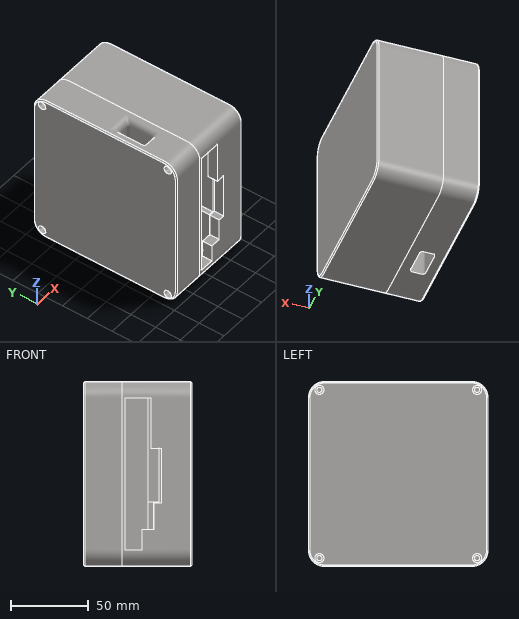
import cadquery as cq

LENGTH = 70.0
WIDTH = 115.5
HEIGHT = 119.0
CORNER_RADIUS = 10.4
END_CHAMFER = 1.0

LEFT = -LENGTH / 2
LID_THICKNESS = 24.8
PARTING = LEFT + LID_THICKNESS

SCREW_Y = WIDTH / 2 - 7.0
SCREW_Z = HEIGHT / 2 - 5.4
SCREW_POINTS = [(y, z) for y in (-SCREW_Y, SCREW_Y) for z in (-SCREW_Z, SCREW_Z)]
SCREW_DIAMETER = 3.3
HEAD_DIAMETER = 5.8
HEAD_DEPTH = 6.0
PILOT_DEPTH = 11.9

DUCT_X = LEFT + 12.6
DUCT_Y = -15.8
DUCT_LENGTH_X = 10.2
DUCT_LENGTH_Y = 20.8
DUCT_CORNER_RADIUS = 2.0
FLARE_RADIUS = 5.1

WALL = 7.6
CAVITY_HALF_Y = WIDTH / 2 - WALL
CAVITY_HALF_Z = HEIGHT / 2 - 7.5
LEDGE_Z = -18.1
CAVITY_UPPER_X = LEFT + 48.8
CAVITY_LOWER_X = LEFT + 45.2

SHOULDER_X = LEFT + 41.6
SHOULDER_RADIUS = 1.0
UPPER_SHOULDER_DEPTH = 2.4
LOWER_SHOULDER_DEPTH = 3.6

WINDOW_LEFT_X = LEFT + 26.8
WINDOW_TOP_Z = 48.8
WINDOW_TOP_X = LEFT + 43.7
WINDOW_STEP_Z = 16.4
WINDOW_MIDDLE_X = LEFT + 50.3
WINDOW_LEDGE_Z = -18.7
WINDOW_LOWER_X = LEFT + 45.6
WINDOW_SILL_Z = -35.7
WINDOW_FOOT_X = LEFT + 37.8
WINDOW_BOTTOM_Z = -48.8


def box(x0, x1, y0, y1, z0, z1):
    """Box between two opposite corners."""
    return cq.Workplane("XY").box(x1 - x0, y1 - y0, z1 - z0, centered=False).translate((x0, y0, z0))


def shell_block(x0, x1, end_face):
    """Block between two X planes with rounded corners and one chamfered end."""
    block = box(x0, x1, -WIDTH / 2, WIDTH / 2, -HEIGHT / 2, HEIGHT / 2)
    return block.edges("|X").fillet(CORNER_RADIUS).faces(end_face).chamfer(END_CHAMFER)


def screw_cylinders(x0, depth, diameter):
    """Four corner cylinders that start at x0 and run in +X."""
    points = cq.Workplane("YZ", origin=(x0, 0, 0)).pushPoints(SCREW_POINTS)
    return points.circle(diameter / 2).extrude(depth)


def flared_slab(plane, half_width, half_depth):
    """Slab symmetric about the plane; its section widens at the top along two arcs."""
    top = HEIGHT / 2
    neck = top - FLARE_RADIUS
    mouth = half_width + FLARE_RADIUS
    return (
        cq.Workplane(plane)
        .moveTo(-half_width, -top)
        .lineTo(half_width, -top)
        .lineTo(half_width, neck)
        .radiusArc((mouth, top), FLARE_RADIUS)
        .lineTo(-mouth, top)
        .radiusArc((-half_width, neck), FLARE_RADIUS)
        .close()
        .extrude(half_depth, both=True)
    )


def is_duct_corner(point, half_x, half_y):
    """True on the four upright duct corners and the mitres above them."""
    tolerance = 0.01
    return abs(point.x) > half_x - tolerance and abs(point.y) > half_y - tolerance


def make_duct():
    """Rectangular duct with mitred flares at the top and rounded corners."""
    half_x = DUCT_LENGTH_X / 2
    half_y = DUCT_LENGTH_Y / 2
    across_x = flared_slab("XZ", half_x, half_y + FLARE_RADIUS)
    across_y = flared_slab("YZ", half_y, half_x + FLARE_RADIUS)
    duct = across_x.intersect(across_y)
    corners = [edge for edge in duct.edges().vals() if is_duct_corner(edge.Center(), half_x, half_y)]
    return duct.newObject(corners).fillet(DUCT_CORNER_RADIUS).translate((DUCT_X, DUCT_Y, 0))


def make_lid():
    lid = shell_block(LEFT, PARTING, "<X")
    lid = lid.cut(screw_cylinders(LEFT, LID_THICKNESS, SCREW_DIAMETER))
    lid = lid.cut(screw_cylinders(LEFT, HEAD_DEPTH, HEAD_DIAMETER))
    return lid.cut(make_duct())


def cavity_part(x1, shoulder_depth, z0, z1):
    """Part of the cavity whose +Y wall steps inwards at a shoulder with a rounded edge."""
    wall_y = CAVITY_HALF_Y
    shoulder_y = wall_y - shoulder_depth
    return (
        cq.Workplane("XY", origin=(0, 0, z0))
        .moveTo(PARTING, -wall_y)
        .lineTo(x1, -wall_y)
        .lineTo(x1, shoulder_y)
        .lineTo(SHOULDER_X + SHOULDER_RADIUS, shoulder_y)
        .radiusArc((SHOULDER_X, shoulder_y + SHOULDER_RADIUS), SHOULDER_RADIUS)
        .lineTo(SHOULDER_X, wall_y)
        .lineTo(PARTING, wall_y)
        .close()
        .extrude(z1 - z0)
    )


def make_cavity():
    upper = cavity_part(CAVITY_UPPER_X, UPPER_SHOULDER_DEPTH, LEDGE_Z, CAVITY_HALF_Z)
    lower = cavity_part(CAVITY_LOWER_X, LOWER_SHOULDER_DEPTH, -CAVITY_HALF_Z, LEDGE_Z)
    return upper.union(lower)


def make_window():
    outline = [
        (WINDOW_LEFT_X, WINDOW_BOTTOM_Z),
        (WINDOW_FOOT_X, WINDOW_BOTTOM_Z),
        (WINDOW_FOOT_X, WINDOW_SILL_Z),
        (WINDOW_LOWER_X, WINDOW_SILL_Z),
        (WINDOW_LOWER_X, WINDOW_LEDGE_Z),
        (WINDOW_MIDDLE_X, WINDOW_LEDGE_Z),
        (WINDOW_MIDDLE_X, WINDOW_STEP_Z),
        (WINDOW_TOP_X, WINDOW_STEP_Z),
        (WINDOW_TOP_X, WINDOW_TOP_Z),
        (WINDOW_LEFT_X, WINDOW_TOP_Z),
    ]
    return cq.Workplane("XZ", origin=(0, -WIDTH / 2, 0)).polyline(outline).close().extrude(-WALL)


def make_housing():
    housing = shell_block(PARTING, LEFT + LENGTH, ">X")
    housing = housing.cut(make_cavity()).cut(make_window())
    return housing.cut(screw_cylinders(PARTING, PILOT_DEPTH, SCREW_DIAMETER))


lid = make_lid()
housing = make_housing()
result = cq.Compound.makeCompound([lid.val(), housing.val()])